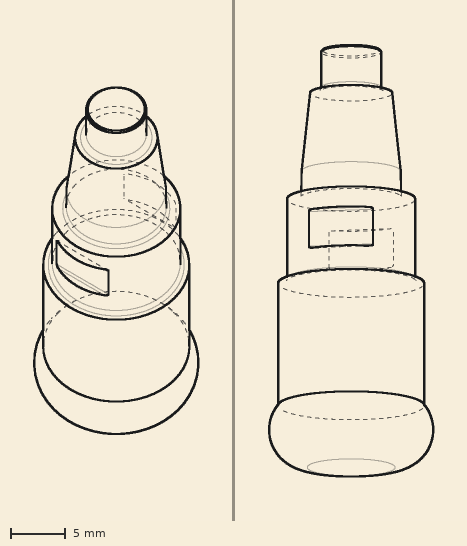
import cadquery as cq
import math

barrel_radius = 13.35 / 2
collar_radius = 11.7 / 2
tip_radius = 5.5 / 2
cone_top_radius = 3.75
cone_bend_radius = 4.55
cone_base_radius = 4.58

total_height = 38.8
cone_top_z = 34.85
cone_bend_z = 27.55
collar_top_z = 25.0
barrel_top_z = 17.15

collar_fillet = 0.35
cone_fillet = 0.3
tip_fillet = 0.5
tip_chamfer = 0.15

flat_distance = 5.05
flat_bottom_z = 19.5
flat_height = 3.6
flat_root_fillet = 0.2

cap_radius = 15.0 / 2
cap_round = 3.5
cap_face_radius = cap_radius - cap_round
cap_top_z = cap_round + math.sqrt(cap_round**2 - (barrel_radius - cap_face_radius) ** 2)


def make_cap():
    """Round-edged cap with a flat bottom and a flat seat for the housing."""
    profile = (
        cq.Workplane("XZ")
        .lineTo(cap_face_radius, 0)
        .threePointArc((cap_radius, cap_round), (barrel_radius, cap_top_z))
        .lineTo(0, cap_top_z)
        .close()
    )
    return profile.revolve(360, (0, 0), (0, 1))


def make_turned_housing():
    """Barrel, collar, tapered neck and tip, with filleted shoulders."""
    profile = (
        cq.Workplane("XZ")
        .moveTo(0, cap_top_z)
        .lineTo(barrel_radius, cap_top_z)
        .lineTo(barrel_radius, barrel_top_z)
        .lineTo(collar_radius + collar_fillet, barrel_top_z)
        .radiusArc((collar_radius, barrel_top_z + collar_fillet), collar_fillet)
        .lineTo(collar_radius, collar_top_z)
        .lineTo(cone_base_radius + cone_fillet, collar_top_z)
        .radiusArc((cone_base_radius, collar_top_z + cone_fillet), cone_fillet)
        .lineTo(cone_bend_radius, cone_bend_z)
        .lineTo(cone_top_radius, cone_top_z)
        .lineTo(tip_radius + tip_fillet, cone_top_z)
        .radiusArc((tip_radius, cone_top_z + tip_fillet), tip_fillet)
        .lineTo(tip_radius, total_height - tip_chamfer)
        .lineTo(tip_radius - tip_chamfer, total_height)
        .lineTo(0, total_height)
        .close()
    )
    return profile.revolve(360, (0, 0), (0, 1))


def make_flat_cutter(side):
    """Block that cuts one wrench flat, on the -Y (side = -1) or +Y (side = 1) face."""
    depth = collar_radius
    return (
        cq.Workplane("XY")
        .box(2 * collar_radius, depth, flat_height, centered=(True, True, False))
        .edges("|X")
        .fillet(flat_root_fillet)
        .translate((0, side * (flat_distance + depth / 2), flat_bottom_z))
    )


cap = make_cap()

housing = make_turned_housing()
for side in (-1, 1):
    housing = housing.cut(make_flat_cutter(side))

result = cq.Compound.makeCompound([housing.val(), cap.val()])